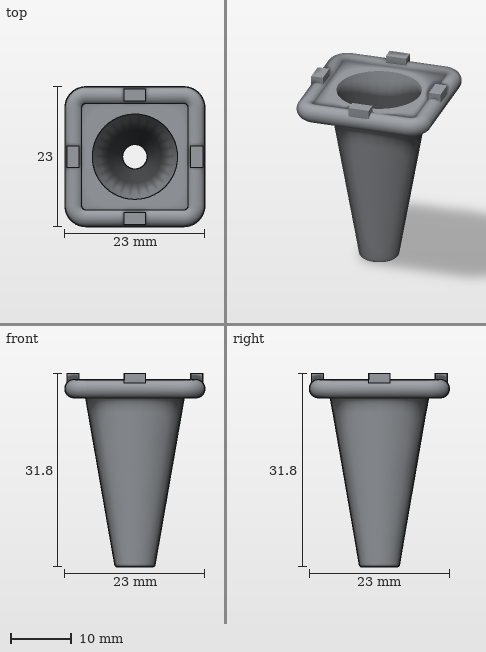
import cadquery as cq

overall_height = 31.75
overall_width = 23.0
side_count = 4
side_angle = 360 / side_count

rim_radius = 1.5
rim_corner_radius = 2.0
tab_rise = 1.0
rim_span = overall_width - 2 * rim_radius
rim_top_z = overall_height - tab_rise
rim_center_z = rim_top_z - rim_radius

plate_thickness = 1.64
plate_bottom_z = rim_center_z - plate_thickness / 2
plate_top_z = plate_bottom_z + plate_thickness

spout_tip_radius = 3.25
spout_top_radius = 8.5
tip_fillet = 0.5

passage_tip_radius = 2.0
passage_mouth_radius = 7.0

tab_length = 3.5
tab_width = 2.0
tab_center_offset = 10.15
tab_height = overall_height - rim_center_z


def cone(bottom_radius, top_radius, height):
    """Upright cone frustum standing on the XY plane."""
    return cq.Workplane(cq.Solid.makeCone(bottom_radius, top_radius, height))


def make_plate():
    """Square plate with rounded corners, reaching to the centerline of the rim bar."""
    return (
        cq.Workplane("XY")
        .workplane(offset=plate_bottom_z)
        .rect(rim_span, rim_span)
        .extrude(plate_thickness)
        .edges("|Z")
        .fillet(rim_corner_radius)
    )


def make_rim_side():
    """Straight bar on the +X side and the quarter-turn corner that follows it."""
    half_span = rim_span / 2
    straight_half = half_span - rim_corner_radius
    bar = (
        cq.Workplane("XZ", origin=(half_span, straight_half, rim_center_z))
        .circle(rim_radius)
        .extrude(2 * straight_half)
    )
    corner = (
        cq.Workplane("XZ", origin=(half_span, straight_half, rim_center_z))
        .circle(rim_radius)
        .revolve(side_angle, (-rim_corner_radius, 0, 0), (-rim_corner_radius, 1, 0))
    )
    return bar.union(corner)


def make_spout():
    """Outer funnel body with a rounded tip."""
    body = cone(spout_tip_radius, spout_top_radius, plate_top_z)
    return body.faces("<Z").edges().fillet(tip_fillet)


def make_tab():
    """Rectangular tab on the +X side, sunk into the rim bar."""
    return (
        cq.Workplane("XY")
        .box(tab_width, tab_length, tab_height, centered=(True, True, False))
        .translate((tab_center_offset, 0, rim_center_z))
    )


def make_passage():
    """Tapered hole running from the plate's top face through the spout tip."""
    return cone(passage_tip_radius, passage_mouth_radius, plate_top_z)


funnel = make_plate().union(make_spout())
rim_side = make_rim_side()
tab = make_tab()
for side_index in range(side_count):
    turn = side_index * side_angle
    funnel = funnel.union(rim_side.rotate((0, 0, 0), (0, 0, 1), turn))
    funnel = funnel.union(tab.rotate((0, 0, 0), (0, 0, 1), turn))

result = funnel.cut(make_passage())